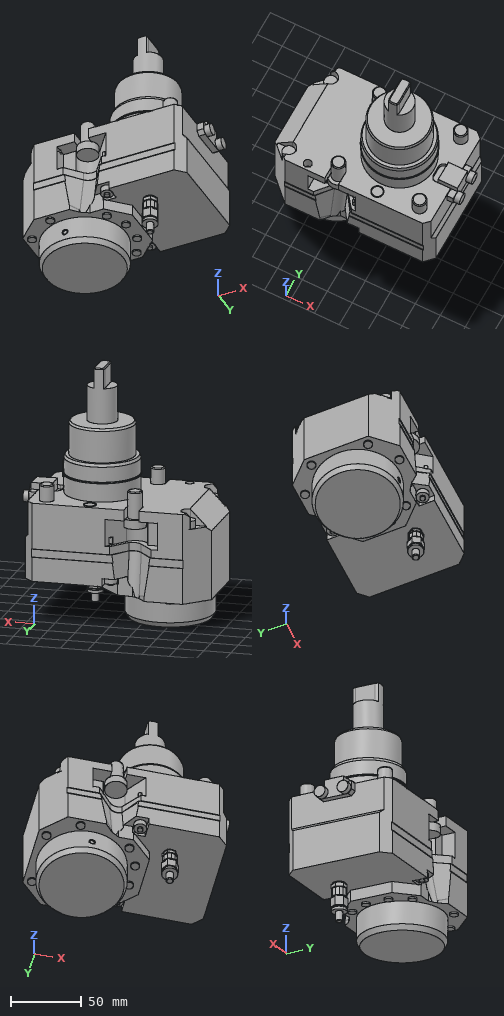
import cadquery as cq
import math


half_width = 42.0
left_x = -87.0
right_x = 47.5
head_bottom_z = -66.5
body_bottom_z = -58.0
left_corner_chamfer = 17.0
right_corner_chamfer = 7.0
slope_size = 15.5
right_relief_depth = 2.5
right_relief_z = -25.0
seam_groove_depth = 0.5
seam_groove_top_z = -34.0
seam_groove_bottom_z = -40.0

flange_half_width = 32.0
flange_right_x = -4.5
flange_corner_x = -19.8
flange_step_z = -52.0
flange_neck_x = -30.6
neck_middle_x = -37.0
neck_middle_half_width = 36.2
head_end_x = -42.0

collar_diameter = 55.0
collar_top_z = 28.0
collar_chamfer_height = 2.2
collar_chamfer_depth = 0.9
seal_diameter = 56.0
seal_height = 1.0
seal_middle_z = 14.2
pilot_diameter = 48.0
pilot_top_z = 53.0
pilot_chamfer_height = 1.7
pilot_chamfer_depth = 1.0
shaft_diameter = 22.0
shaft_top_z = 79.0
tang_width = 8.2
tang_edge_width = 6.8
tang_flat_half_length = 7.9
tang_top_z = 94.0
tang_chamfer = 0.8

spindle_x = -50.0
spindle_diameter = 65.0
spindle_bottom_z = -88.0
spindle_chamfer_height = 4.0
spindle_chamfer_depth = 2.3
lock_hole_z = -77.4
lock_hole_diameter = 4.4
lock_screw_diameter = 3.2
lock_hole_depth = 3.0
lock_screw_recess = 0.4
cover_screw_circle_radius = 38.0
cover_screw_angles = (14.0, 40.0, 104.5, 144.5)
cover_screw_diameter = 6.4
cover_screw_height = 1.2

bolt_x = 32.5
bolt_y = 31.5
bolt_diameter = 10.5
bolt_top_z = 12.0
bolt_chamfer = 0.8
bolt_head_diameter = 16.0
bolt_head_height = 6.5
bolt_slot_width = 11.0

pocket_top_z = -8.0
pocket_bottom_z = -27.8
pocket_left_x = -51.6
pocket_right_x = -13.2
pocket_radius = 9.2
pocket_arc_end_angle = 32.0
mouth_left_x = -47.0
mouth_right_x = -16.6
stop_pin_x = -16.2
stop_pin_y = 37.8
stop_pin_diameter = 3.0
stop_pin_top_z = -22.0
stop_pin_bottom_z = -26.6

channel_tilt = 11.0
channel_left_x = -46.5
channel_right_x = -17.8
channel_arc_start = (-36.6, -30.0)
channel_arc_end = (-27.2, -28.2)
outside_margin = 10.0

corner_screw_x = -72.0
corner_screw_y = 32.0
corner_screw_diameter = 10.0
corner_bore_diameter = 11.0
corner_floor_z = -12.0
corner_screw_top_z = -6.3
corner_notch_right_x = -74.6

top_hole_x = -54.3
top_hole_y = -37.0
top_hole_diameter = 6.2
top_hole_depth = 10.0
plug_y = 34.0
plug_outer_diameter = 9.2
plug_inner_diameter = 8.4
plug_groove_depth = 0.5

key_left_x = 35.0
key_right_x = 50.4
key_half_width = 7.8
key_top_z = 5.0
key_seat_left_x = 29.1
key_seat_depth = 3.0
key_seat_radius = 4.0
key_plate_left_x = 45.3
key_plate_half_width = 14.3
key_plate_bottom_z = -9.3
key_plate_chamfer = 3.0
key_screw_y = 9.3
key_screw_z = -4.8
key_screw_diameter = 8.8
key_screw_end_x = 55.0

flange_screw_x = -15.6
flange_screw_y = 35.0
flange_screw_diameter = 9.2
flange_screw_height = 4.6
flange_screw_tip_diameter = 4.0
flange_recess_left_x = -20.4
flange_recess_right_x = -10.8
flange_recess_back_y = 30.0

fitting_x = 10.1
fitting_y = -18.0
fitting_chamfer = 0.6


def box(x_range, y_range, z_range):
    size = [end - start for start, end in (x_range, y_range, z_range)]
    corner = (x_range[0], y_range[0], z_range[0])
    return cq.Workplane("XY").box(*size, centered=False).translate(corner)


def cylinder(x, y, diameter, bottom_z, top_z):
    base = cq.Workplane("XY", origin=(x, y, bottom_z))
    return base.circle(diameter / 2).extrude(top_z - bottom_z)


def with_mirror(shape):
    """Return a shape together with its mirror image across the XZ plane."""
    return shape.union(shape.mirror("XZ"))


def make_housing():
    plan_left = left_x + left_corner_chamfer
    plan_right = right_x - right_corner_chamfer
    left_y = half_width - left_corner_chamfer
    right_y = half_width - right_corner_chamfer
    body = (
        cq.Workplane("XY", origin=(0, 0, body_bottom_z))
        .moveTo(left_x, -left_y)
        .lineTo(plan_left, -half_width)
        .lineTo(plan_right, -half_width)
        .lineTo(right_x, -right_y)
        .lineTo(right_x, right_y)
        .lineTo(plan_right, half_width)
        .lineTo(plan_left, half_width)
        .lineTo(left_x, left_y)
        .close()
        .extrude(-body_bottom_z)
    )
    flange_end_y = flange_half_width - (flange_right_x - flange_corner_x)
    head = (
        cq.Workplane("XY", origin=(0, 0, head_bottom_z))
        .moveTo(left_x, -left_y)
        .lineTo(plan_left, -half_width)
        .lineTo(head_end_x, -half_width)
        .lineTo(neck_middle_x, -neck_middle_half_width)
        .lineTo(flange_neck_x, -flange_half_width)
        .lineTo(flange_corner_x, -flange_half_width)
        .lineTo(flange_right_x, -flange_end_y)
        .lineTo(flange_right_x, flange_end_y)
        .lineTo(flange_corner_x, flange_half_width)
        .lineTo(flange_neck_x, flange_half_width)
        .lineTo(neck_middle_x, neck_middle_half_width)
        .lineTo(head_end_x, half_width)
        .lineTo(plan_left, half_width)
        .lineTo(left_x, left_y)
        .close()
        .extrude(body_bottom_z - head_bottom_z)
    )
    slope = (
        cq.Workplane("XZ")
        .polyline([(left_x, 0), (left_x + slope_size, 0), (left_x, -slope_size)])
        .close()
        .extrude(half_width, both=True)
    )
    relief_x = right_x - right_relief_depth
    relief = (
        cq.Workplane("XZ")
        .moveTo(relief_x, 0)
        .lineTo(relief_x, right_relief_z)
        .lineTo(right_x, right_relief_z - right_relief_depth)
        .lineTo(right_x, 0)
        .close()
        .extrude(half_width, both=True)
    )
    seam_groove = box(
        (left_x, right_x),
        (-half_width, -half_width + seam_groove_depth),
        (seam_groove_bottom_z, seam_groove_top_z),
    )
    return body.union(head).cut(slope).cut(relief).cut(with_mirror(seam_groove))


def make_upper_pocket():
    """Pocket around the bolt: straight left wall, round back and slanted right wall."""
    wall_angle = math.radians(pocket_arc_end_angle)
    arc_end = (
        -bolt_x + pocket_radius * math.cos(wall_angle),
        -bolt_y + pocket_radius * math.sin(wall_angle),
    )
    return (
        cq.Workplane("XY", origin=(0, 0, pocket_bottom_z))
        .moveTo(pocket_left_x, -half_width)
        .lineTo(pocket_left_x, -bolt_y)
        .lineTo(-bolt_x - pocket_radius, -bolt_y)
        .threePointArc((-bolt_x, -bolt_y + pocket_radius), arc_end)
        .lineTo(pocket_right_x, -half_width)
        .close()
        .extrude(pocket_top_z - pocket_bottom_z)
    )


def make_lower_pocket():
    """Upright mouth of the wrench channel, narrower than the pocket above it."""
    return (
        cq.Workplane("XY", origin=(0, 0, seam_groove_top_z))
        .moveTo(mouth_left_x, -half_width)
        .lineTo(*channel_arc_start)
        .tangentArcPoint(channel_arc_end, relative=False)
        .lineTo(mouth_right_x, -half_width)
        .close()
        .extrude(pocket_bottom_z - seam_groove_top_z)
    )


def make_channel():
    """Inclined channel whose floor moves towards the side face as it goes down."""
    left_slope = (channel_arc_start[0] - channel_left_x) / (channel_arc_start[1] + half_width)
    right_slope = (channel_right_x - channel_arc_end[0]) / (channel_arc_end[1] + half_width)
    outer_y = -half_width - outside_margin
    lower_length = seam_groove_top_z - head_bottom_z + outside_margin
    prism = (
        cq.Workplane("XY", origin=(0, 0, seam_groove_top_z - lower_length))
        .moveTo(channel_left_x - left_slope * outside_margin, outer_y)
        .lineTo(*channel_arc_start)
        .tangentArcPoint(channel_arc_end, relative=False)
        .lineTo(channel_right_x + right_slope * outside_margin, outer_y)
        .close()
        .extrude(lower_length + outside_margin)
    )
    pivot = (0, -half_width, seam_groove_top_z)
    prism = prism.rotate(pivot, (1, -half_width, seam_groove_top_z), -channel_tilt)
    allowed = box((left_x, right_x), (-half_width, 0), (head_bottom_z, seam_groove_top_z))
    return prism.intersect(allowed)


def cut_side_pockets(part):
    slot_half = bolt_slot_width / 2
    slot = box((-bolt_x - slot_half, -bolt_x + slot_half), (-half_width, -bolt_y), (pocket_top_z, 0))
    slot = slot.union(cylinder(-bolt_x, -bolt_y, bolt_slot_width, pocket_top_z, 0))
    step = box(
        (flange_neck_x, flange_corner_x),
        (-half_width, -flange_half_width),
        (body_bottom_z, flange_step_z),
    )
    recess = box(
        (flange_recess_left_x, flange_recess_right_x),
        (-half_width, -flange_recess_back_y),
        (body_bottom_z, flange_step_z),
    )
    cutters = (slot, make_upper_pocket(), make_lower_pocket(), make_channel(), step, recess)
    for cutter in cutters:
        part = part.cut(with_mirror(cutter))
    return part


def cut_corner_notches(part):
    bore_radius = corner_bore_diameter / 2
    bore = cylinder(corner_screw_x, -corner_screw_y, corner_bore_diameter, corner_floor_z, 0)
    inner = box(
        (left_x, corner_screw_x),
        (-corner_screw_y, -corner_screw_y + bore_radius),
        (corner_floor_z, 0),
    )
    outer = box((left_x, corner_notch_right_x), (-half_width, -corner_screw_y), (corner_floor_z, 0))
    return part.cut(with_mirror(bore.union(inner).union(outer)))


def cut_top_details(part):
    part = part.cut(cylinder(top_hole_x, top_hole_y, top_hole_diameter, -top_hole_depth, 0))
    ring = cylinder(0, -plug_y, plug_outer_diameter, -plug_groove_depth, 0)
    ring = ring.cut(cylinder(0, -plug_y, plug_inner_diameter, -plug_groove_depth, 0))
    seat = box(
        (key_seat_left_x, right_x),
        (-key_half_width, key_half_width),
        (-key_seat_depth, 0),
    )
    seat = seat.edges("|Z and <X").fillet(key_seat_radius)
    return part.cut(with_mirror(ring)).cut(seat)


def make_shank():
    collar = cylinder(0, 0, collar_diameter, 0, collar_top_z)
    collar = collar.faces(">Z").chamfer(collar_chamfer_height, collar_chamfer_depth)
    seal_bottom_z = seal_middle_z - seal_height / 2
    seal = cylinder(0, 0, seal_diameter, seal_bottom_z, seal_bottom_z + seal_height)
    pilot = cylinder(0, 0, pilot_diameter, 0, pilot_top_z)
    pilot = pilot.faces(">Z").chamfer(pilot_chamfer_height, pilot_chamfer_depth)
    shaft = cylinder(0, 0, shaft_diameter, 0, shaft_top_z)
    tang_end_y = shaft_diameter / 2
    quarter = [(tang_width / 2, tang_flat_half_length), (tang_edge_width / 2, tang_end_y)]
    front = [(x, -y) for x, y in reversed(quarter)]
    right_side = front + quarter
    left_side = [(-x, -y) for x, y in right_side]
    blade = cq.Workplane("XY", origin=(0, 0, shaft_top_z)).polyline(right_side + left_side).close()
    tang = blade.extrude(tang_top_z - shaft_top_z)
    tang = tang.intersect(cylinder(0, 0, shaft_diameter, shaft_top_z, tang_top_z))
    tang = tang.faces(">Z").chamfer(tang_chamfer)
    return collar.union(seal).union(pilot).union(shaft).union(tang)


def make_spindle():
    radius = spindle_diameter / 2
    nose = cylinder(spindle_x, 0, spindle_diameter, spindle_bottom_z, head_bottom_z)
    nose = nose.faces("<Z").chamfer(spindle_chamfer_height, spindle_chamfer_depth)
    lock_plane = cq.Workplane("XZ", origin=(spindle_x, -radius + lock_hole_depth, lock_hole_z))
    lock_hole = lock_plane.circle(lock_hole_diameter / 2).extrude(lock_hole_depth)
    lock_screw = lock_plane.circle(lock_screw_diameter / 2).extrude(lock_hole_depth - lock_screw_recess)
    return nose.cut(lock_hole).union(lock_screw)


def make_cover_screws():
    screws = cq.Workplane("XY")
    for angle in cover_screw_angles:
        x = spindle_x + cover_screw_circle_radius * math.cos(math.radians(angle))
        y = -cover_screw_circle_radius * math.sin(math.radians(angle))
        bottom_z = head_bottom_z - cover_screw_height
        screws = screws.union(cylinder(x, y, cover_screw_diameter, bottom_z, head_bottom_z))
    return with_mirror(screws)


def make_bolts():
    left = cylinder(-bolt_x, -bolt_y, bolt_diameter, pocket_top_z, bolt_top_z)
    right = cylinder(bolt_x, -bolt_y, bolt_diameter, 0, bolt_top_z)
    head_bottom = pocket_top_z - bolt_head_height
    head = cylinder(-bolt_x, -bolt_y, bolt_head_diameter, head_bottom, pocket_top_z)
    bolts = left.union(right).faces(">Z").chamfer(bolt_chamfer).union(head)
    corner = cylinder(
        corner_screw_x, -corner_screw_y, corner_screw_diameter, corner_floor_z, corner_screw_top_z
    )
    stop_pin = cylinder(stop_pin_x, -stop_pin_y, stop_pin_diameter, stop_pin_bottom_z, stop_pin_top_z)
    flange_screw = cylinder(
        flange_screw_x,
        -flange_screw_y,
        flange_screw_diameter,
        flange_step_z - flange_screw_height,
        flange_step_z,
    )
    flange_tip = cylinder(
        flange_screw_x, -flange_screw_y, flange_screw_tip_diameter, body_bottom_z, flange_step_z
    )
    return with_mirror(bolts.union(corner).union(stop_pin).union(flange_screw).union(flange_tip))


def make_key():
    key = box(
        (key_left_x, key_right_x), (-key_half_width, key_half_width), (-key_seat_depth, key_top_z)
    )
    plate = box(
        (key_plate_left_x, key_right_x),
        (-key_plate_half_width, key_plate_half_width),
        (key_plate_bottom_z, 0),
    )
    plate = plate.faces("<Z").edges("|X").chamfer(key_plate_chamfer)
    screw = (
        cq.Workplane("YZ", origin=(key_right_x, -key_screw_y, key_screw_z))
        .circle(key_screw_diameter / 2)
        .extrude(key_screw_end_x - key_right_x)
    )
    return key.union(plate).union(with_mirror(screw))


def make_fitting():
    stages = (
        (9.4, body_bottom_z, -62.0),
        (9.4, -62.0, -77.6),
        (11.6, -77.6, -79.8),
        (5.4, -79.8, -87.4),
    )
    nuts = ((6, 11.4, -58.8, -61.8), (12, 11.0, -62.2, -68.5), (6, 12.4, -69.2, -76.4))
    fitting = cq.Workplane("XY")
    for diameter, top_z, bottom_z in stages:
        fitting = fitting.union(cylinder(fitting_x, fitting_y, diameter, bottom_z, top_z))
    fitting = fitting.faces("<Z").chamfer(fitting_chamfer)
    for sides, corners, top_z, bottom_z in nuts:
        base = cq.Workplane("XY", origin=(fitting_x, fitting_y, bottom_z))
        fitting = fitting.union(base.polygon(sides, corners).extrude(top_z - bottom_z))
    return fitting


result = cut_top_details(cut_corner_notches(cut_side_pockets(make_housing())))
for component in (
    make_shank(),
    make_spindle(),
    make_cover_screws(),
    make_bolts(),
    make_key(),
    make_fitting(),
):
    result = result.union(component)